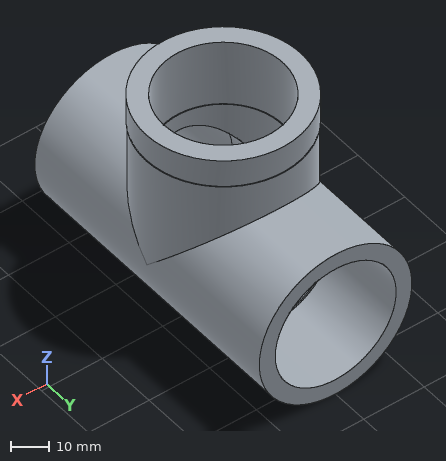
import cadquery as cq

run_length = 96.0
pipe_diameter = 50.5
bore_diameter = 38.6

run_socket_diameter = 39.9
run_socket_depth = 26.9

branch_height = 47.0
collar_diameter = 51.0
collar_height = 9.4
branch_socket_diameter = 39.1
branch_socket_depth = 22.2


def vertical_cylinder(diameter, bottom, top):
    """Cylinder on the branch axis between two heights."""
    return cq.Workplane("XY").workplane(offset=bottom).circle(diameter / 2).extrude(top - bottom)


def run_cylinder(diameter, start, end):
    """Cylinder on the run axis between two Y positions."""
    return cq.Workplane("XZ", origin=(0, start, 0)).circle(diameter / 2).extrude(start - end)


run_end = run_length / 2
body = run_cylinder(pipe_diameter, -run_end, run_end)
body = body.union(vertical_cylinder(pipe_diameter, 0, branch_height))
body = body.union(vertical_cylinder(collar_diameter, branch_height - collar_height, branch_height))

body = body.cut(run_cylinder(bore_diameter, -run_end, run_end))
body = body.cut(vertical_cylinder(bore_diameter, 0, branch_height))

for side in (-1, 1):
    socket_bottom = side * (run_end - run_socket_depth)
    body = body.cut(run_cylinder(run_socket_diameter, socket_bottom, side * run_end))
body = body.cut(
    vertical_cylinder(branch_socket_diameter, branch_height - branch_socket_depth, branch_height)
)

result = body